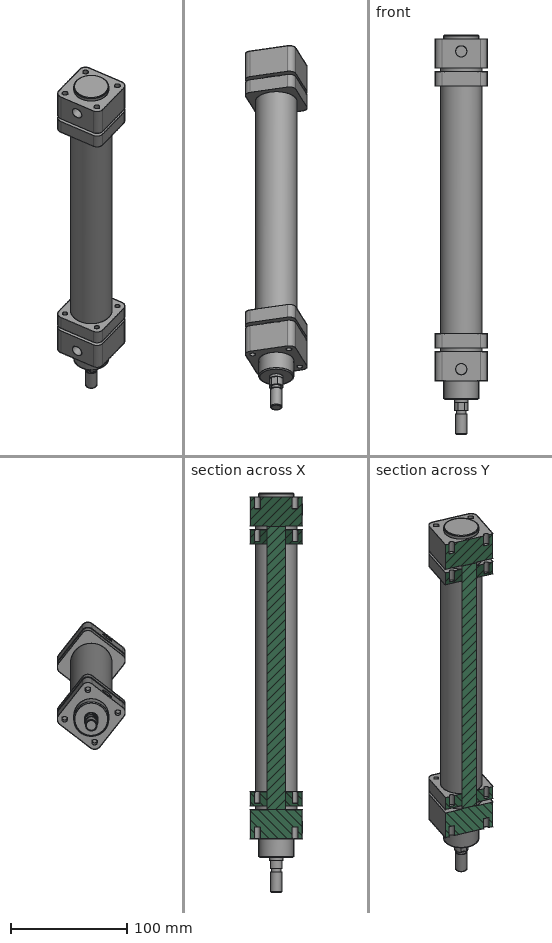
import cadquery as cq


TOTAL_LENGTH = 344.0
BLOCK_WIDTH = 45.0
BLOCK_CORNER_RADIUS = 6.0

HEAD_HEIGHT = 25.0
FLANGE_HEIGHT = 12.5
GAP = 3.0
NOSE_LENGTH = 16.0
CAP_BOSS_HEIGHT = 3.5
ROD_LENGTH = 30.0

BARREL_DIAMETER = 36.0
BOSS_DIAMETER = 30.3
NOSE_CHAMFER = 1.0
CAP_BOSS_CHAMFER = 0.7

BOLT_SPACING = 32.7
HEAD_HOLE_DIAMETER = 4.8
FLANGE_HOLE_DIAMETER = 4.0
BOLT_HOLE_DEPTH = 10.0
PORT_DIAMETER = 9.5
PORT_DEPTH = 10.0
FRONT_PORT_INSET = 10.0
REAR_PORT_INSET = 10.5

ROD_DIAMETER = 12.0
FLATTED_DIAMETER = 11.7
FLATS_WIDTH = 10.3
ROD_COLLAR_LENGTH = 2.5
THREAD_DIAMETER = 10.0
THREAD_LENGTH = 17.5
THREAD_CHAMFER = 0.7
NECK_DIAMETER = 8.5
NECK_LENGTH = 2.8

NOSE_BOTTOM = ROD_LENGTH
FRONT_HEAD_BOTTOM = NOSE_BOTTOM + NOSE_LENGTH
FRONT_HEAD_TOP = FRONT_HEAD_BOTTOM + HEAD_HEIGHT
FRONT_FLANGE_BOTTOM = FRONT_HEAD_TOP + GAP
REAR_HEAD_TOP = TOTAL_LENGTH - CAP_BOSS_HEIGHT
REAR_HEAD_BOTTOM = REAR_HEAD_TOP - HEAD_HEIGHT
REAR_FLANGE_BOTTOM = REAR_HEAD_BOTTOM - GAP - FLANGE_HEIGHT


def cylinder(diameter, bottom, top):
    return cq.Workplane("XY").workplane(offset=bottom).circle(diameter / 2).extrude(top - bottom)


def square_block(bottom, height):
    block = cq.Workplane("XY").workplane(offset=bottom).rect(BLOCK_WIDTH, BLOCK_WIDTH).extrude(height)
    return block.edges("|Z").fillet(BLOCK_CORNER_RADIUS)


def bolt_holes(diameter, face_level, direction):
    """Cutters for the four blind bolt holes; direction is +1 upward or -1 downward."""
    return (
        cq.Workplane("XY")
        .workplane(offset=face_level)
        .rect(BOLT_SPACING, BOLT_SPACING, forConstruction=True)
        .vertices()
        .circle(diameter / 2)
        .extrude(direction * BOLT_HOLE_DEPTH)
    )


def air_port(level):
    """Cutter for the blind port in the -Y side of a head."""
    return (
        cq.Workplane("XZ", origin=(0, -BLOCK_WIDTH / 2, level))
        .circle(PORT_DIAMETER / 2)
        .extrude(-PORT_DEPTH)
    )


def make_barrel():
    return cylinder(BARREL_DIAMETER, FRONT_HEAD_TOP, REAR_HEAD_BOTTOM)


def make_flange(bottom):
    """Square flange fitted around the barrel, with bolt holes in its top face."""
    top = bottom + FLANGE_HEIGHT
    bore = cylinder(BARREL_DIAMETER, bottom, top)
    return square_block(bottom, FLANGE_HEIGHT).cut(bore).cut(bolt_holes(FLANGE_HOLE_DIAMETER, top, -1))


def make_front_head():
    nose = cylinder(BOSS_DIAMETER, NOSE_BOTTOM, FRONT_HEAD_BOTTOM).faces("<Z").chamfer(NOSE_CHAMFER)
    head = square_block(FRONT_HEAD_BOTTOM, HEAD_HEIGHT).union(nose)
    head = head.cut(bolt_holes(HEAD_HOLE_DIAMETER, FRONT_HEAD_BOTTOM, 1))
    return head.cut(air_port(FRONT_HEAD_BOTTOM + FRONT_PORT_INSET))


def make_rear_head():
    boss = cylinder(BOSS_DIAMETER, REAR_HEAD_TOP, TOTAL_LENGTH).faces(">Z").chamfer(CAP_BOSS_CHAMFER)
    head = square_block(REAR_HEAD_BOTTOM, HEAD_HEIGHT).union(boss)
    head = head.cut(bolt_holes(HEAD_HOLE_DIAMETER, REAR_HEAD_TOP, -1))
    return head.cut(air_port(REAR_HEAD_TOP - REAR_PORT_INSET))


def make_rod():
    """Rod end: chamfered thread, relief neck, wrench flats facing +Y and -Y, round collar."""
    neck_top = THREAD_LENGTH + NECK_LENGTH
    flats_top = ROD_LENGTH - ROD_COLLAR_LENGTH
    flats_height = flats_top - neck_top

    thread = cylinder(THREAD_DIAMETER, 0, THREAD_LENGTH).faces("<Z").chamfer(THREAD_CHAMFER)
    neck = cylinder(NECK_DIAMETER, THREAD_LENGTH, neck_top)
    flatted_part = cylinder(FLATTED_DIAMETER, neck_top, flats_top).intersect(
        cq.Workplane("XY")
        .workplane(offset=neck_top)
        .rect(FLATTED_DIAMETER, FLATS_WIDTH)
        .extrude(flats_height)
    )
    collar = cylinder(ROD_DIAMETER, flats_top, ROD_LENGTH)
    return thread.union(neck).union(flatted_part).union(collar)


barrel = make_barrel()
flanges = [make_flange(bottom) for bottom in (FRONT_FLANGE_BOTTOM, REAR_FLANGE_BOTTOM)]
front_head = make_front_head()
rear_head = make_rear_head()
rod = make_rod()

result = cq.Compound.makeCompound([
    barrel.val(),
    *[flange.val() for flange in flanges],
    front_head.val(),
    rear_head.val(),
    rod.val(),
])